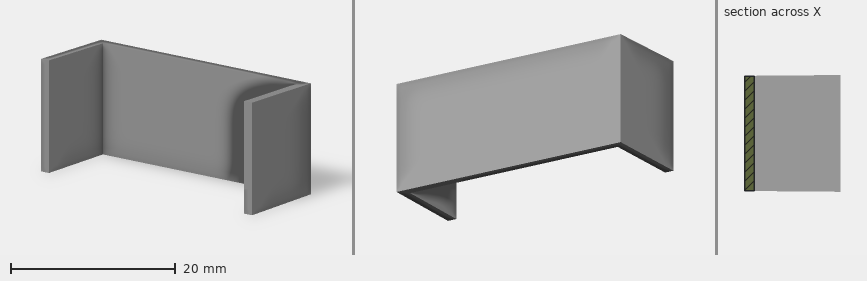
import cadquery as cq
import math

open_width = 32.6
open_height = 14.2
depth = 11.7
wall = 1.2
draft_angle = 0.5

inner_open_width = open_width - 2 * wall
inner_depth = depth - wall
inner_draft = inner_depth * math.tan(math.radians(draft_angle))
front_y = -depth / 2
cut_height = 2 * open_height


def tapered_body():
    """Block that narrows in X and Z from the free ends (-Y) to the web (+Y)."""
    return (
        cq.Workplane("XZ", origin=(0, front_y, 0))
        .rect(open_width, open_height)
        .extrude(-depth, taper=draft_angle)
    )


def channel():
    """Drafted channel between the legs, open toward -Y and through in Z."""
    half_open = inner_open_width / 2
    half_floor = half_open - inner_draft
    floor_y = front_y + inner_depth
    return (
        cq.Workplane("XY", origin=(0, 0, -cut_height / 2))
        .polyline([
            (-half_open, front_y),
            (half_open, front_y),
            (half_floor, floor_y),
            (-half_floor, floor_y),
        ])
        .close()
        .extrude(cut_height)
    )


result = tapered_body().cut(channel())